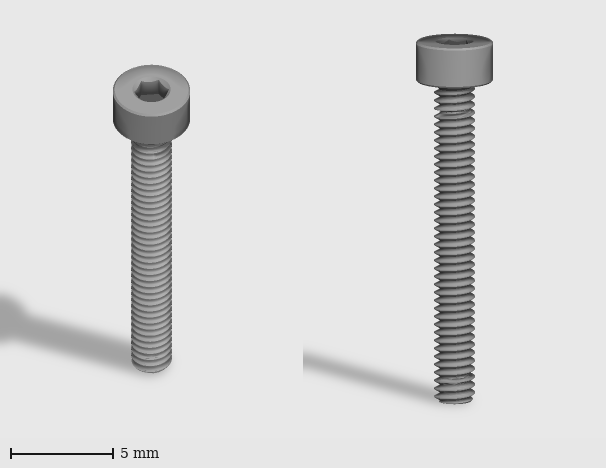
import cadquery as cq
import math

overall_length = 18.0
head_diameter = 3.8
head_height = 2.0
head_edge_chamfer = 0.09
head_radius = head_diameter / 2
shank_length = overall_length - head_height

thread_diameter = 2.0
thread_turns = 40
flank_angle = 30.0
pitch = shank_length / thread_turns
thread_radius = thread_diameter / 2
crest_width = pitch / 8
root_width = pitch / 8
thread_depth = (pitch - crest_width - root_width) / 2 / math.tan(math.radians(flank_angle))
root_radius = thread_radius - thread_depth
first_crest_height = 0.8 * pitch
tip_radius = 0.8
ridge_overrun = 2
foot_overlap = 0.02
head_overlap = 0.18

collar_radius = 1.13
collar_height = collar_radius - root_radius

socket_across_flats = 1.5
socket_depth = 1.0
mouth_radius = 0.94


def make_head():
    return (
        cq.Workplane("XY", origin=(0, 0, shank_length))
        .circle(head_radius)
        .extrude(head_height)
        .faces("<Z or >Z")
        .chamfer(head_edge_chamfer)
    )


def make_socket():
    across_corners = socket_across_flats / math.cos(math.pi / 6)
    hexagon = (
        cq.Workplane("XY", origin=(0, 0, overall_length - socket_depth))
        .transformed(rotate=(0, 0, 90))
        .polygon(6, across_corners)
        .extrude(socket_depth)
    )
    mouth = cq.Workplane("XY").add(
        cq.Solid.makeCone(
            mouth_radius, 0, mouth_radius, cq.Vector(0, 0, overall_length), cq.Vector(0, 0, -1)
        )
    )
    return hexagon.union(mouth)


def make_collar():
    return cq.Workplane("XY").add(
        cq.Solid.makeCone(
            root_radius, collar_radius, collar_height, cq.Vector(0, 0, shank_length - collar_height)
        )
    )


def make_thread_ridge():
    lowest_crest = first_crest_height - ridge_overrun * pitch
    half_crest = crest_width / 2
    half_foot = half_crest + (thread_depth + foot_overlap) * math.tan(math.radians(flank_angle))
    foot_radius = root_radius - foot_overlap
    profile = [
        (foot_radius, lowest_crest - half_foot),
        (thread_radius, lowest_crest - half_crest),
        (thread_radius, lowest_crest + half_crest),
        (foot_radius, lowest_crest + half_foot),
    ]
    helix = cq.Wire.makeHelix(
        pitch, shank_length + ridge_overrun * pitch, root_radius, cq.Vector(0, 0, lowest_crest)
    )
    return (
        cq.Workplane("XZ")
        .polyline(profile)
        .close()
        .sweep(cq.Workplane("XY").add(helix), isFrenet=True)
    )


def make_shank():
    overrun = (ridge_overrun + 1) * pitch
    core = (
        cq.Workplane("XY", origin=(0, 0, -overrun))
        .circle(root_radius)
        .extrude(shank_length + 2 * overrun)
    )
    envelope = (
        cq.Workplane("XY")
        .circle(head_radius)
        .extrude(shank_length + head_overlap)
        .faces("<Z")
        .chamfer(head_radius - tip_radius)
    )
    return core.union(make_thread_ridge()).intersect(envelope)


screw = make_shank().union(make_head().union(make_collar())).cut(make_socket())
result = screw.solids()